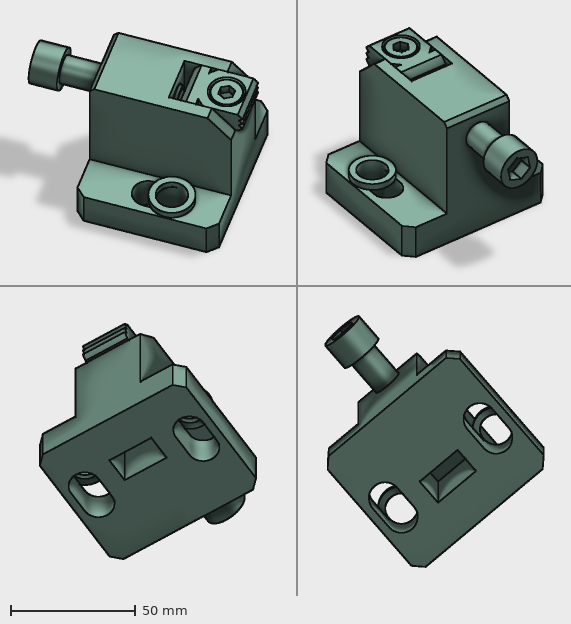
import cadquery as cq
import math


HOUSING_LENGTH = 60.0
HOUSING_WIDTH = 70.0
HOUSING_HEIGHT = 60.0
BASE_HEIGHT = 15.0
BASE_CORNER_CHAMFER = 4.0
BLOCK_WIDTH = 31.0
BLOCK_REAR_CHAMFER = 2.0
BLOCK_FRONT_CHAMFER = 10.0

SLOT_WIDTH = 13.0
SLOT_TRAVEL = 10.1
SLOT_OFFSET = 25.0
RING_DIAMETER = 18.9
RING_HEIGHT = 3.0
RING_X = 38.0

CHANNEL_WIDTH = 20.0
CHANNEL_REAR_X = 31.8
SEAT_Z = HOUSING_HEIGHT - BLOCK_FRONT_CHAMFER

BOLT_STANDOFF = 28.0
BOLT_HEAD_LENGTH = 12.0
BOLT_HEAD_RADIUS = 9.0
BOLT_RADIUS = 6.0
BOLT_Z = HOUSING_HEIGHT - 12.0
BOLT_HEX_FLATS = 10.0
BOLT_HEX_DEPTH = 6.0
BOLT_HEX_TURN = 11.0
BOLT_END_TAPER_LENGTH = 1.4
BOLT_END_RADIUS = 5.3
DOME_RADIUS = 4.2
DOME_HEIGHT = 2.7

JAW_REAR_X = 36.0
LEG_THICKNESS = 7.1
JAW_REAR_CHAMFER = 3.0
TOOTH_COUNT = 3
TOOTH_PITCH = 3.0
TOOTH_DEPTH = TOOTH_PITCH / 2
TOOTH_END_BEVEL = 2.0
JAW_OVERHANG = 3.0
NOTCH_SIZE = 3.0
LEG_FRONT_X = JAW_REAR_X + LEG_THICKNESS
LEG_BOTTOM_Z = BOLT_Z - BOLT_RADIUS
TOOTH_TIP_X = HOUSING_LENGTH + JAW_OVERHANG

SCREW_X = 53.0
SCREW_RADIUS = 4.0
SCREW_HEAD_RADIUS = 6.5
SCREW_HEAD_HEIGHT = 8.0
SCREW_RECESS = 0.2
SCREW_HEX_FLATS = 6.0
SCREW_HEX_DEPTH = 4.0
SCREW_THREAD_DEPTH = 12.0
COUNTERBORE_RADIUS = 6.9
COUNTERBORE_CHAMFER = 0.7
SCREW_TOP_Z = HOUSING_HEIGHT - SCREW_RECESS
SCREW_SHOULDER_Z = SCREW_TOP_Z - SCREW_HEAD_HEIGHT
SCREW_END_Z = SEAT_Z - SCREW_THREAD_DEPTH


def cylinder_z(radius, x, y, bottom, top):
    """Upright cylinder between two heights."""
    return cq.Workplane("XY", origin=(x, y, bottom)).circle(radius).extrude(top - bottom)


def box_between(x_range, width, z_range):
    """Box centred on Y that spans the given X and Z ranges."""
    length = x_range[1] - x_range[0]
    height = z_range[1] - z_range[0]
    box = cq.Workplane("XY").box(length, width, height, centered=(False, True, False))
    return box.translate((x_range[0], 0, z_range[0]))


def hex_diameter(across_flats):
    """Corner-to-corner size of a hexagon."""
    return across_flats / math.cos(math.radians(30))


def make_housing():
    """Flanged body with the mounting slots, the jaw channel and the two screw holes."""
    base = box_between((0, HOUSING_LENGTH), HOUSING_WIDTH, (0, BASE_HEIGHT))
    base = base.edges("|Z").chamfer(BASE_CORNER_CHAMFER)
    block = box_between((0, HOUSING_LENGTH), BLOCK_WIDTH, (0, HOUSING_HEIGHT))
    block = block.edges("<X and >Z").chamfer(BLOCK_REAR_CHAMFER)
    block = block.edges(">X and >Z").chamfer(BLOCK_FRONT_CHAMFER)
    housing = base.union(block)

    ring_top = BASE_HEIGHT + RING_HEIGHT
    for y in (-SLOT_OFFSET, SLOT_OFFSET):
        ring = cylinder_z(RING_DIAMETER / 2, RING_X, y, BASE_HEIGHT, ring_top)
        front_bore = cylinder_z(SLOT_WIDTH / 2, RING_X, y, 0, ring_top)
        rear_bore = cylinder_z(SLOT_WIDTH / 2, RING_X - SLOT_TRAVEL, y, 0, BASE_HEIGHT)
        slot_middle = cq.Workplane("XY", origin=(RING_X - SLOT_TRAVEL / 2, y, 0))
        slot_middle = slot_middle.rect(SLOT_TRAVEL, SLOT_WIDTH).extrude(BASE_HEIGHT)
        housing = housing.union(ring).cut(front_bore).cut(rear_bore).cut(slot_middle)

    seat = box_between((CHANNEL_REAR_X, HOUSING_LENGTH), CHANNEL_WIDTH, (SEAT_Z, HOUSING_HEIGHT))
    shaft = box_between((CHANNEL_REAR_X, LEG_FRONT_X), CHANNEL_WIDTH, (0, HOUSING_HEIGHT))
    bolt_hole = cq.Workplane("YZ", origin=(0, 0, BOLT_Z)).circle(BOLT_RADIUS).extrude(CHANNEL_REAR_X)
    screw_hole = cylinder_z(SCREW_RADIUS, SCREW_X, 0, SCREW_END_Z, SEAT_Z)
    for void in (seat, shaft, bolt_hole, screw_hole):
        housing = housing.cut(void)
    return housing


def make_bolt():
    """Socket-head bolt along X whose domed end presses on the back of the jaw."""
    end_x = JAW_REAR_X - DOME_HEIGHT
    head_front_x = BOLT_HEAD_LENGTH - BOLT_STANDOFF
    sphere_radius = (DOME_RADIUS**2 + DOME_HEIGHT**2) / (2 * DOME_HEIGHT)
    half_angle = math.asin(DOME_RADIUS / sphere_radius) / 2
    sphere_x = JAW_REAR_X - sphere_radius
    dome_middle = (
        sphere_x + sphere_radius * math.cos(half_angle),
        sphere_radius * math.sin(half_angle),
    )
    bolt = (
        cq.Workplane("XY")
        .moveTo(-BOLT_STANDOFF, 0)
        .lineTo(-BOLT_STANDOFF, BOLT_HEAD_RADIUS)
        .lineTo(head_front_x, BOLT_HEAD_RADIUS)
        .lineTo(head_front_x, BOLT_RADIUS)
        .lineTo(end_x - BOLT_END_TAPER_LENGTH, BOLT_RADIUS)
        .lineTo(end_x, BOLT_END_RADIUS)
        .lineTo(end_x, DOME_RADIUS)
        .threePointArc(dome_middle, (JAW_REAR_X, 0))
        .close()
        .revolve(360, (0, 0, 0), (1, 0, 0))
    )
    socket = (
        cq.Workplane("YZ", origin=(-BOLT_STANDOFF, 0, 0))
        .polygon(6, hex_diameter(BOLT_HEX_FLATS))
        .extrude(BOLT_HEX_DEPTH)
        .rotate((0, 0, 0), (1, 0, 0), 90 - BOLT_HEX_TURN)
    )
    return bolt.cut(socket).translate((0, 0, BOLT_Z))


def make_jaw():
    """Jaw with serrations on its front, standing on the seat of the housing."""
    corner_x = TOOTH_TIP_X - TOOTH_END_BEVEL
    outline = [
        (LEG_FRONT_X, SEAT_Z),
        (LEG_FRONT_X, LEG_BOTTOM_Z),
        (JAW_REAR_X, LEG_BOTTOM_Z),
        (JAW_REAR_X, HOUSING_HEIGHT - JAW_REAR_CHAMFER),
        (JAW_REAR_X + JAW_REAR_CHAMFER, HOUSING_HEIGHT),
        (corner_x, HOUSING_HEIGHT),
    ]
    for tooth in range(TOOTH_COUNT):
        tip_z = HOUSING_HEIGHT - TOOTH_END_BEVEL - tooth * TOOTH_PITCH
        if tooth > 0:
            outline.append((TOOTH_TIP_X - TOOTH_DEPTH, tip_z + TOOTH_PITCH / 2))
        outline.append((TOOTH_TIP_X, tip_z))
    outline.append((corner_x, SEAT_Z))
    jaw = cq.Workplane("XZ").polyline(outline).close().extrude(CHANNEL_WIDTH / 2, both=True)

    for side in (-1, 1):
        side_y = side * CHANNEL_WIDTH / 2
        notch = (
            cq.Workplane("XY", origin=(LEG_FRONT_X, side_y, SEAT_Z))
            .polyline([(0, 0), (NOTCH_SIZE, 0), (0, -side * NOTCH_SIZE)])
            .close()
            .extrude(HOUSING_HEIGHT - SEAT_Z)
        )
        jaw = jaw.cut(notch)

    counterbore = cylinder_z(COUNTERBORE_RADIUS, SCREW_X, 0, SCREW_SHOULDER_Z, HOUSING_HEIGHT)
    shank_hole = cylinder_z(SCREW_RADIUS, SCREW_X, 0, SEAT_Z, SCREW_SHOULDER_Z)
    jaw = jaw.cut(counterbore).cut(shank_hole)
    return jaw.faces(">Z").edges("%CIRCLE").chamfer(COUNTERBORE_CHAMFER)


def make_jaw_screw():
    """Socket-head screw that holds the jaw down on its seat."""
    head = cylinder_z(SCREW_HEAD_RADIUS, SCREW_X, 0, SCREW_SHOULDER_Z, SCREW_TOP_Z)
    shank = cylinder_z(SCREW_RADIUS, SCREW_X, 0, SCREW_END_Z, SCREW_SHOULDER_Z)
    socket = (
        cq.Workplane("XY")
        .polygon(6, hex_diameter(SCREW_HEX_FLATS))
        .extrude(SCREW_HEX_DEPTH)
        .rotate((0, 0, 0), (0, 0, 1), 90)
        .translate((SCREW_X, 0, SCREW_TOP_Z - SCREW_HEX_DEPTH))
    )
    return head.union(shank).cut(socket)


housing = make_housing()
bolt = make_bolt()
jaw = make_jaw()
jaw_screw = make_jaw_screw()

bodies = (housing, bolt, jaw, jaw_screw)
result = cq.Compound.makeCompound([body.solids().val() for body in bodies])